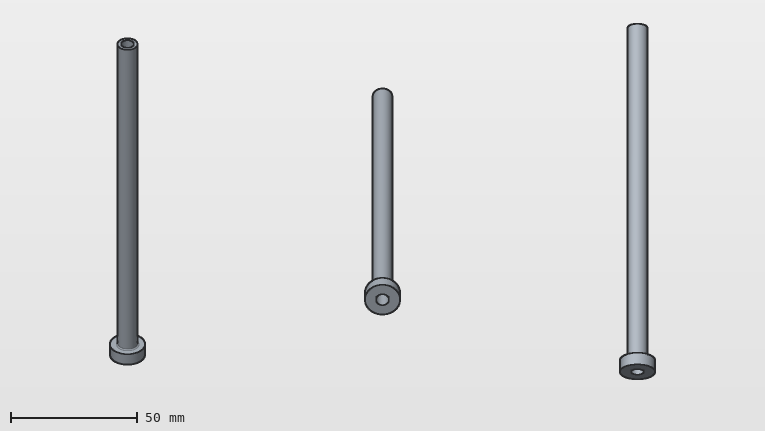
import cadquery as cq

total_length = 150.0
head_diameter = 14.0
head_height = 5.1
shaft_diameter = 8.0
bore_diameter = 5.1
neck_fillet = 0.5

head = cq.Workplane("XY").circle(head_diameter / 2).extrude(head_height)
shaft = cq.Workplane("XY").circle(shaft_diameter / 2).extrude(total_length)
body = head.union(shaft)

head_top = body.faces(cq.selectors.NearestToPointSelector((0, 0, head_height)))
smallest_circle = cq.selectors.RadiusNthSelector(0)
body = head_top.edges(smallest_circle).fillet(neck_fillet)

bore = cq.Workplane("XY").circle(bore_diameter / 2).extrude(total_length)
result = body.cut(bore)